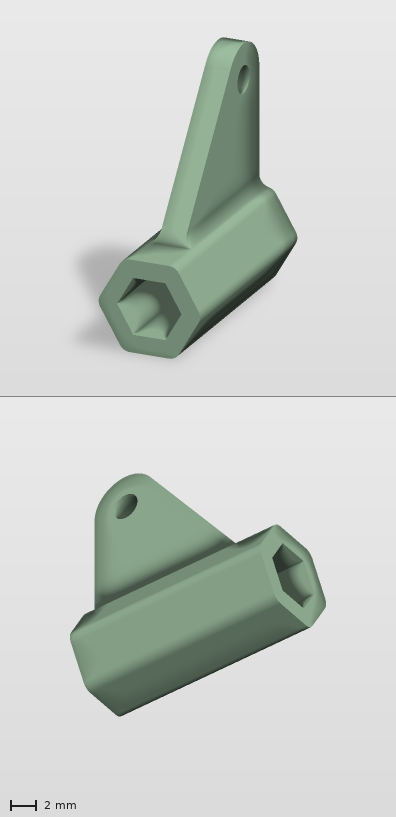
import cadquery as cq
import math

tube_length = 18.5
tube_flats = 7.8
bore_flats = 4.78
corner_radius = 1.0

overall_height = 20.8
lug_thickness = 2.18
lug_foot_length = 14.51
lug_tip_radius = 3.01
pin_hole_diameter = 2.3
root_fillet_radius = 1.0

tube_top = tube_flats / 2
lug_top = overall_height - tube_top
back_y = tube_length / 2
foot_y = back_y - lug_foot_length
tip_y = back_y - lug_tip_radius
tip_z = lug_top - lug_tip_radius


def hexagonal_prism(across_flats):
    """Hexagonal bar along Y with flats facing up and down."""
    across_corners = across_flats / math.cos(math.pi / 6)
    return (
        cq.Workplane("XZ")
        .polygon(6, across_corners)
        .extrude(tube_length / 2, both=True)
    )


def lug_cross_section():
    """Plate whose root flares into the rounded top corners of the tube."""
    half_thickness = lug_thickness / 2

    corner_z = tube_top - corner_radius
    corner_x = corner_z * math.tan(math.pi / 6)
    fillet_x = half_thickness + root_fillet_radius
    centre_distance = corner_radius + root_fillet_radius
    fillet_z = corner_z + math.sqrt(centre_distance**2 - (fillet_x - corner_x) ** 2)

    share = corner_radius / centre_distance
    touch_x = corner_x + share * (fillet_x - corner_x)
    touch_z = corner_z + share * (fillet_z - corner_z)
    touch_angle = math.atan2(touch_z - fillet_z, touch_x - fillet_x)
    middle_angle = (touch_angle - math.pi) / 2
    middle_x = fillet_x + root_fillet_radius * math.cos(middle_angle)
    middle_z = fillet_z + root_fillet_radius * math.sin(middle_angle)

    return (
        cq.Workplane("XZ")
        .moveTo(-corner_x, corner_z)
        .lineTo(corner_x, corner_z)
        .lineTo(touch_x, touch_z)
        .threePointArc((middle_x, middle_z), (half_thickness, fillet_z))
        .lineTo(half_thickness, lug_top)
        .lineTo(-half_thickness, lug_top)
        .lineTo(-half_thickness, fillet_z)
        .threePointArc((-middle_x, middle_z), (-touch_x, touch_z))
        .close()
        .extrude(tube_length / 2, both=True)
    )


def lug_side_outline():
    """Rounded tip with a vertical back edge and a sloping front edge."""
    run = tip_y - foot_y
    rise = tip_z - tube_top
    foot_to_tip = math.hypot(run, rise)
    tangent_angle = (
        math.atan2(-rise, -run) - math.acos(lug_tip_radius / foot_to_tip)
    )
    tangent_y = tip_y + lug_tip_radius * math.cos(tangent_angle)
    tangent_z = tip_z + lug_tip_radius * math.sin(tangent_angle)

    return (
        cq.Workplane("YZ")
        .moveTo(back_y, 0)
        .lineTo(back_y, tip_z)
        .threePointArc((tip_y, lug_top), (tangent_y, tangent_z))
        .lineTo(foot_y, tube_top)
        .lineTo(foot_y, 0)
        .close()
        .extrude(tube_flats / 2, both=True)
    )


tube = hexagonal_prism(tube_flats).edges("|Y").fillet(corner_radius)
lug = lug_cross_section().intersect(lug_side_outline())
bore = hexagonal_prism(bore_flats)
pin_hole = (
    cq.Workplane("YZ", origin=(-lug_thickness / 2, 0, 0))
    .center(tip_y, tip_z)
    .circle(pin_hole_diameter / 2)
    .extrude(lug_thickness)
)

result = tube.union(lug).cut(bore).cut(pin_hole)